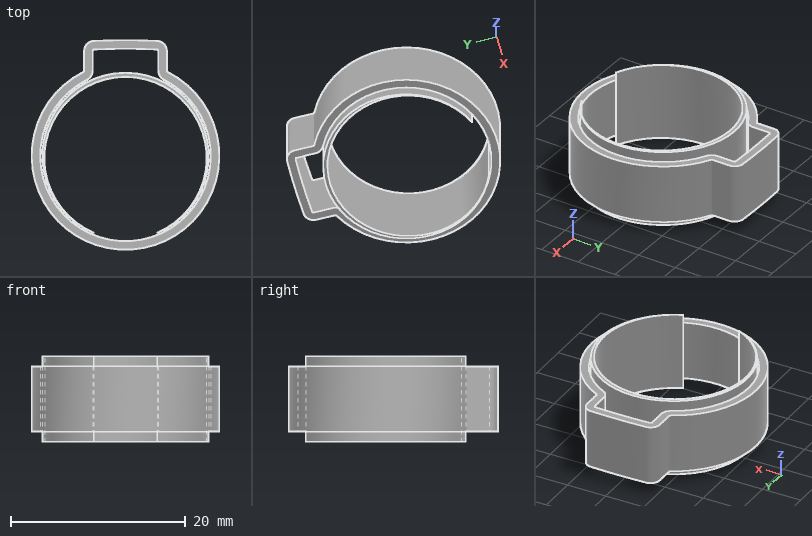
import cadquery as cq

overall_depth = 24.0
band_outer_radius = 10.75
band_wall = 1.0
band_height = 7.45
ear_width = 9.5
ear_crown_radius = 83.96
bend_inner_radius = 0.2
ring_outer_radius = 9.52
ring_thickest_wall = 0.5
ring_height = 9.8
ring_gap_width = 7.3

ear_top = overall_depth - band_outer_radius
ear_crown_center = ear_top - ear_crown_radius
bend_outer_radius = bend_inner_radius + band_wall
ring_eccentricity = ring_thickest_wall / 2
ring_bore_radius = ring_outer_radius - ring_eccentricity


def prism(sketch, height):
    """Extrude a sketch in the XY plane so that it is centred on Z = 0."""
    return sketch.extrude(height / 2, both=True)


def keyhole(inset, corner_radius, neck_radius):
    """Disc with a crowned ear towards +Y: the band's outline, moved inwards by the inset."""
    radius = band_outer_radius - inset
    width = ear_width - 2 * inset
    top = ear_top - inset
    disc = prism(cq.Workplane("XY").circle(radius), band_height)
    ear_block = prism(cq.Workplane("XY").center(0, top / 2).rect(width, top), band_height)
    crown = prism(
        cq.Workplane("XY").center(0, ear_crown_center).circle(ear_crown_radius - inset), band_height
    )
    ear = ear_block.intersect(crown).edges("|Z").edges(">Y").fillet(corner_radius)

    neck_zone = cq.selectors.BoxSelector(
        (-width, radius / 2, -band_height), (width, radius, band_height)
    )
    return disc.union(ear).edges("|Z").edges(neck_zone).fillet(neck_radius)


def make_band():
    """Strip of even wall bent into a closed ring with one pinch ear."""
    outside = keyhole(0, bend_outer_radius, bend_inner_radius)
    inside = keyhole(band_wall, bend_inner_radius, bend_outer_radius)
    return outside.cut(inside).solids()


def make_insert_ring():
    """Open ring whose wall tapers from the ear side to two thin ends."""
    ring = prism(cq.Workplane("XY").circle(ring_outer_radius), ring_height)
    bore = prism(
        cq.Workplane("XY").center(0, -ring_eccentricity).circle(ring_bore_radius), ring_height
    )
    gap = prism(
        cq.Workplane("XY").center(0, -ring_outer_radius).rect(ring_gap_width, ring_outer_radius),
        ring_height,
    )
    return ring.cut(gap).cut(bore).solids()


band = make_band()
insert_ring = make_insert_ring()

result = cq.Compound.makeCompound([band.val(), insert_ring.val()])